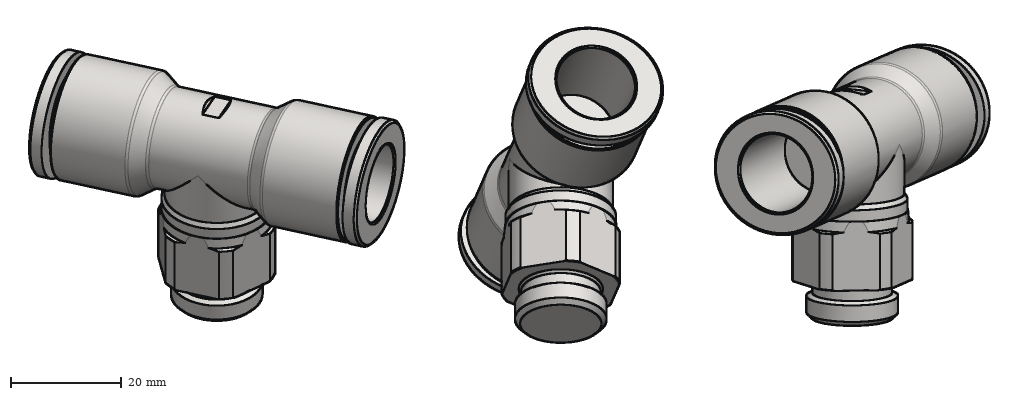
import cadquery as cq
import math


overall_length = 63.8
arm_end = overall_length / 2
branch_bottom = -33.0

waist_radius = 9.5
waist_end = 9.9
flare_end = 13.1
flare_blend = 0.95
sleeve_radius = 11.75
sleeve_end_chamfer = 0.25
neck_radius = 8.55
neck_length = 1.3

collar_width = 25.0
collar_height = 22.95
collar_thickness = 2.6
collar_chamfer = 0.45
collar_inner_face = arm_end - collar_thickness
sleeve_end = collar_inner_face - neck_length

socket_radius = 7.3
socket_chamfer = 0.3
socket_depth = arm_end - flare_end

notch_floor_length = 3.2
notch_depth = 0.5

skirt_radius = 10.1
skirt_cone_top = -9.95
skirt_top = -10.9
nut_top = -13.0

nut_across_flats = 2 * skirt_radius
nut_corner_radius = 11.0
nut_crown_top_radius = 10.15
nut_crown_base_radius = 10.35
nut_crown_base = -15.0
nut_shoulder = -15.3
nut_bottom = -25.85
nut_bottom_chamfer = 0.1

relief_radius = 7.3
relief_taper = 0.6
relief_flare_radius = 7.65
thread_top = -28.95
thread_radius = 8.35
thread_chamfer = 0.95


def point_on_axis(x):
    """Selector for the circular edges centred at this place on the arm axis."""
    reach = 0.05
    return cq.selectors.BoxSelector((x - reach, -reach, -reach), (x + reach, reach, reach))


def turned_about_z(profile):
    """Solid turned about the Z axis from (radius, z) points."""
    return cq.Workplane("XZ").polyline(profile).close().revolve(360, (0, 0), (0, 1))


def make_body():
    """Waist with a flare and a sleeve at each end."""
    right_half = [
        (waist_end, waist_radius),
        (flare_end, sleeve_radius),
        (sleeve_end, sleeve_radius),
        (sleeve_end, 0),
    ]
    left_half = [(-x, radius) for x, radius in reversed(right_half)]
    body = (
        cq.Workplane("XY")
        .polyline(left_half + right_half)
        .close()
        .revolve(360, (0, 0), (1, 0))
    )
    for x in (waist_end, -waist_end, flare_end, -flare_end):
        body = body.edges(point_on_axis(x)).fillet(flare_blend)
    return body.faces("<X or >X").edges().chamfer(sleeve_end_chamfer)


def make_collar():
    """Oval release collar of the +X arm, with the round neck behind it."""
    neck = cq.Workplane("YZ", origin=(sleeve_end, 0, 0)).circle(neck_radius).extrude(neck_length)
    collar = (
        cq.Workplane("YZ", origin=(collar_inner_face, 0, 0))
        .ellipse(collar_width / 2, collar_height / 2)
        .extrude(collar_thickness)
        .faces(">X").edges().chamfer(collar_chamfer)
    )
    return neck.union(collar)


def make_socket():
    """Tube socket of the +X arm, with a chamfered mouth."""
    bore = cq.Workplane("YZ", origin=(arm_end, 0, 0)).circle(socket_radius).extrude(-socket_depth)
    mouth = (
        cq.Workplane("YZ", origin=(arm_end, 0, 0))
        .circle(socket_radius + socket_chamfer)
        .workplane(offset=-socket_chamfer)
        .circle(socket_radius)
        .loft()
    )
    return bore.union(mouth)


def make_notch():
    """Shallow flat-bottomed cut across the waist, its end walls sloping at 45 degrees."""
    floor_z = waist_radius - notch_depth
    half_floor = notch_floor_length / 2
    half_top = half_floor + notch_depth
    return (
        cq.Workplane("XZ")
        .polyline([
            (-half_floor, floor_z),
            (half_floor, floor_z),
            (half_top, waist_radius),
            (-half_top, waist_radius),
        ])
        .close()
        .extrude(waist_radius, both=True)
    )


def make_branch():
    """Round branch with the same radius as the waist, widening to a skirt over the nut."""
    return turned_about_z([
        (0, 0),
        (waist_radius, 0),
        (waist_radius, skirt_cone_top),
        (skirt_radius, skirt_top),
        (skirt_radius, nut_top),
        (0, nut_top),
    ])


def make_nut():
    """Turned blank with a tapered crown, milled down to a hexagon."""
    blank = turned_about_z([
        (0, nut_top),
        (nut_crown_top_radius, nut_top),
        (nut_crown_base_radius, nut_crown_base),
        (nut_corner_radius, nut_shoulder),
        (nut_corner_radius, nut_bottom + nut_bottom_chamfer),
        (nut_corner_radius - nut_bottom_chamfer, nut_bottom),
        (0, nut_bottom),
    ])
    across_corners = nut_across_flats / math.cos(math.radians(30))
    hexagon = (
        cq.Workplane("XY", origin=(0, 0, nut_bottom))
        .polygon(6, across_corners)
        .extrude(nut_top - nut_bottom)
    )
    return blank.intersect(hexagon)


def make_stud():
    """Stud with a relief groove under the nut and a chamfered tip."""
    return turned_about_z([
        (0, nut_bottom),
        (relief_flare_radius, nut_bottom),
        (relief_radius, nut_bottom - relief_taper),
        (relief_radius, thread_top + relief_taper),
        (thread_radius, thread_top),
        (thread_radius, branch_bottom + thread_chamfer),
        (thread_radius - thread_chamfer, branch_bottom),
        (0, branch_bottom),
    ])


collar = make_collar()
socket = make_socket()
solid_run = make_body().union(collar).union(collar.mirror("YZ"))
hollow_run = solid_run.cut(socket).cut(socket.mirror("YZ")).cut(make_notch())
result = hollow_run.union(make_branch()).union(make_nut()).union(make_stud())